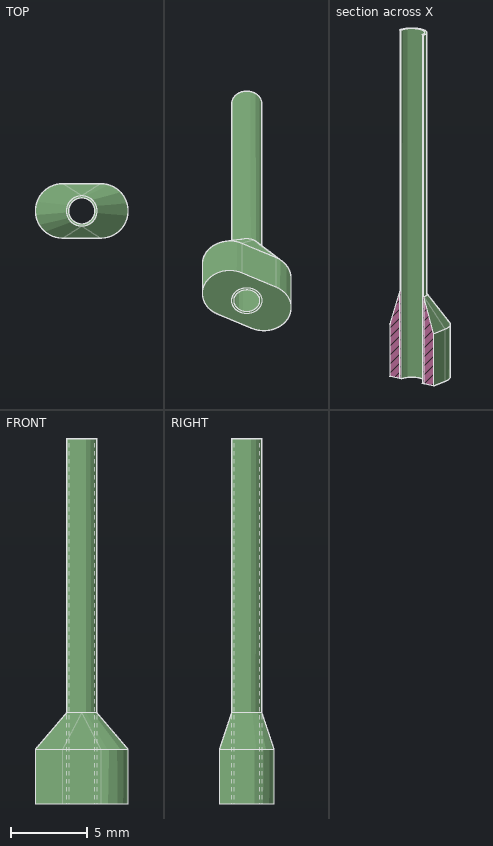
import cadquery as cq

total_height = 24.0
tube_diameter = 2.0
tube_wall = 0.15
collar_length = 6.1
collar_width = 3.6
collar_straight_height = 3.6
collar_taper_height = 2.4

tube_radius = tube_diameter / 2
bore_radius = tube_radius - tube_wall
end_radius = collar_width / 2
end_offset = collar_length / 2 - end_radius
collar_height = collar_straight_height + collar_taper_height


def half_disc(workplane, flat_x, radius, side):
    """Half disc with its flat edge at flat_x, bulging toward +X (side 1) or -X (side -1)."""
    return (
        workplane.moveTo(flat_x, -radius)
        .threePointArc((flat_x + side * radius, 0), (flat_x, radius))
        .close()
    )


def make_taper_end(side):
    """Oblique half cone from one rounded end of the collar up to half of the tube outline."""
    base = half_disc(
        cq.Workplane("XY", origin=(0, 0, collar_straight_height)),
        side * end_offset,
        end_radius,
        side,
    )
    top = half_disc(base.workplane(offset=collar_taper_height), 0, tube_radius, side)
    return top.loft(ruled=True)


def make_taper_middle():
    """Wedge between the half cones, narrowing to a straight ridge across the tube axis."""
    block = (
        cq.Workplane("XZ", origin=(0, 0, collar_straight_height))
        .polyline([(-end_offset, 0), (end_offset, 0), (0, collar_taper_height)])
        .close()
        .extrude(end_radius, both=True)
    )
    flanks = (
        cq.Workplane("YZ", origin=(0, 0, collar_straight_height))
        .polyline([
            (-end_radius, 0),
            (end_radius, 0),
            (tube_radius, collar_taper_height),
            (-tube_radius, collar_taper_height),
        ])
        .close()
        .extrude(end_offset, both=True)
    )
    return block.intersect(flanks)


def make_collar():
    """Straight oblong sleeve below a taper, with a round hole that fits the tube."""
    collar = (
        cq.Workplane("XY")
        .slot2D(collar_length, collar_width)
        .extrude(collar_straight_height)
        .union(make_taper_middle())
    )
    for side in (-1, 1):
        collar = collar.union(make_taper_end(side))
    tube_hole = cq.Workplane("XY").circle(tube_radius).extrude(collar_height)
    return collar.cut(tube_hole)


def make_tube():
    """Thin tube open at both ends, running from the bottom of the collar to the full height."""
    return cq.Workplane("XY").circle(tube_radius).circle(bore_radius).extrude(total_height)


collar = make_collar()
tube = make_tube()
result = cq.Compound.makeCompound([collar.solids().val(), tube.val()])